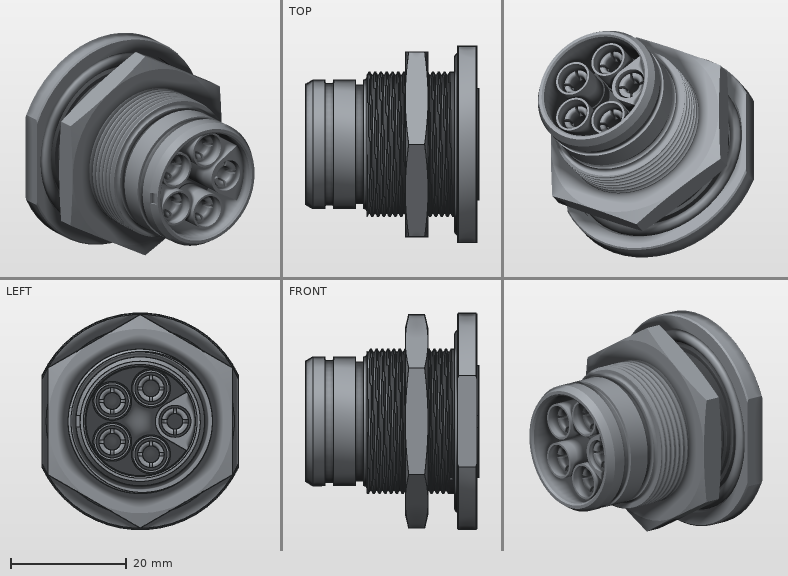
import cadquery as cq
import math

OVERLAP = 0.2
CUT_MARGIN = 1.0

nose_radius = 11.15
nose_tip_radius = 10.4
nose_chamfer_length = 1.25
groove_radius = 10.55
groove_start = 3.35
groove_end = 4.85
groove_fillet = 0.2
nose_end = 8.65
neck_radius = 10.3
keyway_width = 2.0
keyway_floor = 10.45
keyway_length = nose_chamfer_length

barrel_start = 10.0
barrel_lead_length = 0.6
barrel_lead_fillet = 0.45
thread_radius = 12.5
thread_root_radius = 12.0
thread_pitch = 1.0
thread_crest_width = 0.2
thread_root_width = 0.3
thread_cut_clearance = 0.1
thread_groove_start = 9.8
thread_groove_end = 25.2

flange_front = 26.25
flange_back = 29.7
flange_radius = 18.75
flange_chamfer = 0.25
flange_across_flats = 34.0
seal_front = 25.75
seal_cord_radius = 1.0
seal_ring_radius = 14.85
seal_groove_inner_radius = 13.2
seal_groove_outer_radius = 16.3
boss_end = 30.0
boss_radius = 9.7
boss_notch_width = 2.06
boss_notch_depth = 0.5

nut_front = 17.25
nut_width = 3.95
nut_sides = 6
nut_across_flats = 32.0
nut_face_radius = 15.95
nut_corner_setback = 0.6

bore_radius = 9.55
bore_chamfer = 0.3
recess_floor = 10.0
gap_inner_radius = 9.4
gap_depth = 0.5
socket_end = recess_floor + 2 * gap_depth
socket_front = 2.0
socket_circle_radius = 6.0
socket_count = 5
socket_outer_radius = 3.38
wedge_half_angle = 30.0
contact_slot_width = 0.55
contact_bore_depth = 5.0
slot_depth = 2.0
clearance_depth = 3.0

power_tube_radius = 3.15
power_base_start = 8.0
power_clearance_radius = 2.79
power_contact_depth = 1.65
power_contact_radius = 2.3
power_mouth_radius = 2.0
power_bore_radius = 1.45

earth_clearance_radius = 2.76
earth_contact_depth = 0.65
earth_contact_radius = 2.34
earth_mouth_radius = 1.9
earth_bore_radius = 1.35


def disc(x_start, x_end, radius, y=0.0, z=0.0):
    """Cylinder along X between two stations."""
    plane = cq.Workplane("YZ", origin=(x_start, y, z))
    return plane.circle(radius).extrude(x_end - x_start)


def cone(x_start, x_end, start_radius, end_radius, y=0.0, z=0.0):
    """Truncated cone along X between two stations."""
    solid = cq.Solid.makeCone(
        start_radius, end_radius, x_end - x_start, cq.Vector(x_start, y, z), cq.Vector(1, 0, 0)
    )
    return cq.Workplane(obj=solid)


def tube(x_start, x_end, outer_radius, inner_radius, y=0.0, z=0.0):
    """Hollow cylinder along X between two stations."""
    plane = cq.Workplane("YZ", origin=(x_start, y, z))
    return plane.circle(outer_radius).circle(inner_radius).extrude(x_end - x_start)


def block(x_start, x_end, y_size, z_size, y=0.0, z=0.0):
    """Box between two X stations, centred at the given Y and Z."""
    plane = cq.Workplane("YZ", origin=(x_start, y, z))
    return plane.rect(y_size, z_size).extrude(x_end - x_start)


def make_nose():
    nose = cone(0, nose_chamfer_length, nose_tip_radius, nose_radius)
    nose = nose.union(disc(nose_chamfer_length, nose_end, nose_radius))
    nose = nose.union(disc(nose_end - OVERLAP, barrel_start + OVERLAP, neck_radius))

    groove = tube(groove_start, groove_end, nose_radius + CUT_MARGIN, groove_radius)
    floor_edges = cq.selectors.RadiusNthSelector(0)
    groove = groove.edges(floor_edges).fillet(groove_fillet)
    nose = nose.cut(groove)

    keyway_height = nose_radius - keyway_floor + CUT_MARGIN
    keyway_y = keyway_floor + keyway_height / 2
    keyway = block(0, keyway_length, keyway_height, keyway_width, keyway_y)
    return nose.cut(keyway)


def make_thread_groove():
    """Right-hand helical groove that reaches slightly outside the barrel surface."""
    depth = thread_radius - thread_root_radius
    mouth_width = thread_pitch - thread_crest_width
    flank_slope = (mouth_width - thread_root_width) / 2 / depth
    half_root = thread_root_width / 2
    half_outer = mouth_width / 2 + flank_slope * thread_cut_clearance
    outer_radius = thread_radius + thread_cut_clearance
    path = cq.Wire.makeHelix(thread_pitch, thread_groove_end - thread_groove_start, thread_root_radius)
    groove = (
        cq.Workplane("XZ")
        .moveTo(thread_root_radius, -half_root)
        .lineTo(outer_radius, -half_outer)
        .lineTo(outer_radius, half_outer)
        .lineTo(thread_root_radius, half_root)
        .close()
        .sweep(path, isFrenet=True)
    )
    groove = groove.rotate((0, 0, 0), (0, 1, 0), 90)
    groove = groove.rotate((0, 0, 0), (1, 0, 0), 180)
    return groove.translate((thread_groove_start, 0, 0))


def make_barrel():
    lead_end = barrel_start + barrel_lead_length
    barrel = disc(lead_end, flange_front + OVERLAP, thread_radius).cut(make_thread_groove())
    lead = (
        cq.Workplane("XY")
        .moveTo(barrel_start, 0)
        .lineTo(barrel_start, nose_radius)
        .lineTo(lead_end - barrel_lead_fillet, nose_radius)
        .radiusArc((lead_end, nose_radius + barrel_lead_fillet), -barrel_lead_fillet)
        .lineTo(lead_end + OVERLAP, nose_radius + barrel_lead_fillet)
        .lineTo(lead_end + OVERLAP, 0)
        .close()
        .revolve(360, (0, 0, 0), (1, 0, 0))
    )
    return barrel.union(lead)


def make_nut():
    corner_radius = nut_across_flats / 2 / math.cos(math.pi / nut_sides)
    nut_back = nut_front + nut_width
    hexagon = (
        cq.Workplane("YZ", origin=(nut_front, 0, 0))
        .polygon(nut_sides, 2 * corner_radius)
        .extrude(nut_width)
        .rotate((0, 0, 0), (1, 0, 0), 90)
    )
    envelope = (
        cq.Workplane("XY")
        .moveTo(nut_front, 0)
        .lineTo(nut_front, nut_face_radius)
        .lineTo(nut_front + nut_corner_setback, corner_radius)
        .lineTo(nut_back - nut_corner_setback, corner_radius)
        .lineTo(nut_back, nut_face_radius)
        .lineTo(nut_back, 0)
        .close()
        .revolve(360, (0, 0, 0), (1, 0, 0))
    )
    return hexagon.intersect(envelope)


def make_flange():
    flange = disc(flange_front, flange_back, flange_radius).edges().chamfer(flange_chamfer)
    flange = flange.intersect(block(flange_front, flange_back, flange_across_flats, 2 * flange_radius))

    cord_x = seal_front + seal_cord_radius
    groove_floor = cord_x + seal_cord_radius - OVERLAP
    groove = tube(flange_front, groove_floor, seal_groove_outer_radius, seal_groove_inner_radius)
    seal = (
        cq.Workplane("XY")
        .center(cord_x, seal_ring_radius)
        .circle(seal_cord_radius)
        .revolve(360, (0, -seal_ring_radius, 0), (1, -seal_ring_radius, 0))
    )

    boss = disc(flange_back - OVERLAP, boss_end, boss_radius)
    notch = block(flange_back, boss_end, 2 * boss_notch_depth, boss_notch_width, -boss_radius)
    return flange.cut(groove).union(seal).union(boss.cut(notch))


def cut_bore(body):
    bore = disc(0, recess_floor, bore_radius)
    mouth = cone(0, bore_chamfer, bore_radius + bore_chamfer, bore_radius)
    gap = tube(recess_floor, recess_floor + gap_depth, bore_radius, gap_inner_radius)
    return body.cut(bore).cut(mouth).cut(gap)


def cut_contact(body, y, z, front, clearance_radius, contact_radius, mouth_radius, bore_radius):
    """Slotted spring contact standing in an annular clearance, with a rounded mouth."""
    clearance = tube(front, front + clearance_depth, clearance_radius, contact_radius, y, z)
    mouth_round = mouth_radius - bore_radius
    bore_end = front + contact_bore_depth
    bore = (
        cq.Workplane("XY")
        .moveTo(front, 0)
        .lineTo(front, mouth_radius)
        .radiusArc((front + mouth_round, bore_radius), -mouth_round)
        .lineTo(bore_end, bore_radius)
        .lineTo(bore_end, 0)
        .close()
        .revolve(360, (0, 0, 0), (1, 0, 0))
        .translate((0, y, z))
    )
    slot_length = 2 * contact_radius
    slot = block(front, front + slot_depth, slot_length, contact_slot_width, y, z)
    cross_slot = block(front, front + slot_depth, contact_slot_width, slot_length, y, z)
    return body.cut(clearance).cut(bore).cut(slot).cut(cross_slot)


def add_power_socket(body, y, z):
    front = socket_front + power_contact_depth
    body = body.union(disc(socket_front, socket_end, power_tube_radius, y, z))
    body = body.union(disc(power_base_start, socket_end, socket_outer_radius, y, z))
    body = body.cut(disc(socket_front, front, power_clearance_radius, y, z))
    return cut_contact(
        body, y, z, front, power_clearance_radius, power_contact_radius, power_mouth_radius, power_bore_radius
    )


def add_earth_socket(body, y, z):
    """Socket in a rounded wedge that widens outwards to the bore wall."""
    front = socket_front + earth_contact_depth
    angle = math.radians(wedge_half_angle)
    tangent_y = y + socket_outer_radius * math.sin(angle)
    tangent_z = socket_outer_radius * math.cos(angle)
    outer_y = -bore_radius - CUT_MARGIN
    outer_z = tangent_z + (tangent_y - outer_y) * math.tan(angle)
    wedge = (
        cq.Workplane("YZ", origin=(socket_front, 0, 0))
        .moveTo(outer_y, -outer_z)
        .lineTo(tangent_y, -tangent_z)
        .threePointArc((y + socket_outer_radius, z), (tangent_y, tangent_z))
        .lineTo(outer_y, outer_z)
        .close()
        .extrude(socket_end - socket_front)
        .intersect(disc(socket_front, socket_end, bore_radius + OVERLAP))
    )
    body = body.union(wedge)
    body = body.cut(disc(socket_front, front, earth_clearance_radius, y, z))
    return cut_contact(
        body, y, z, front, earth_clearance_radius, earth_contact_radius, earth_mouth_radius, earth_bore_radius
    )


def add_sockets(body):
    """The earth socket lies on -Y; the power sockets fill the rest of the circle."""
    body = add_earth_socket(body, -socket_circle_radius, 0.0)
    for index in range(1, socket_count):
        angle = math.pi + index * 2 * math.pi / socket_count
        y = socket_circle_radius * math.cos(angle)
        z = socket_circle_radius * math.sin(angle)
        body = add_power_socket(body, y, z)
    return body


shell = make_nose().union(make_barrel()).union(make_nut()).union(make_flange())
result = add_sockets(cut_bore(shell))